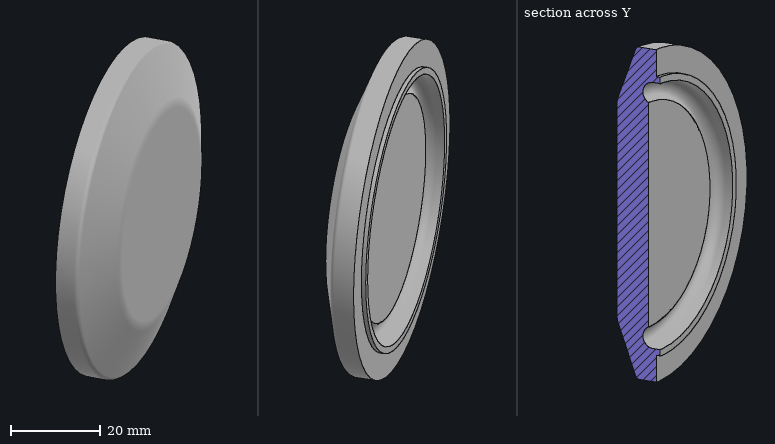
import cadquery as cq
import math

thickness = 11.5
outer_radius = 38.75
boss_height = 1.0
boss_radius = 32.5
back_radius = 25.6
back_edge_round = 5.0

recess_depth = 3.0
wall_depth = 2.0
groove_outer_radius = 30.9
groove_inner_radius = 26.1

rounding_end = 6.6
rounding_end_radius = 38.05


def flange_body():
    """Stepped disc with a conical back and a rounded rim."""
    cone_run = thickness - rounding_end
    cone_drop = rounding_end_radius - back_radius
    cone_angle = math.atan2(cone_drop, cone_run)
    rounding_radius = (outer_radius - rounding_end_radius) / (1 - math.cos(cone_angle))
    rounding_start = rounding_end - rounding_radius * math.sin(cone_angle)
    mid_x = rounding_start + rounding_radius * math.sin(cone_angle / 2)
    mid_radius = outer_radius - rounding_radius * (1 - math.cos(cone_angle / 2))
    profile = (
        cq.Workplane("XY")
        .lineTo(0, boss_radius)
        .lineTo(boss_height, boss_radius)
        .lineTo(boss_height, outer_radius)
        .lineTo(rounding_start, outer_radius)
        .threePointArc((mid_x, mid_radius), (rounding_end, rounding_end_radius))
        .lineTo(thickness, back_radius)
        .lineTo(thickness, 0)
        .close()
    )
    return profile.revolve(360, (0, 0, 0), (1, 0, 0))


def front_recess():
    """Recessed center surrounded by a round-bottomed ring groove."""
    groove_width = groove_outer_radius - groove_inner_radius
    step = recess_depth - wall_depth
    groove_radius = (groove_width**2 + step**2) / (2 * groove_width)
    groove_center_radius = groove_outer_radius - groove_radius
    groove_bottom = (wall_depth + groove_radius, groove_center_radius)
    profile = (
        cq.Workplane("XY")
        .lineTo(recess_depth, 0)
        .lineTo(recess_depth, groove_inner_radius)
        .threePointArc(groove_bottom, (wall_depth, groove_outer_radius))
        .lineTo(0, groove_outer_radius)
        .close()
    )
    return profile.revolve(360, (0, 0, 0), (1, 0, 0))


body = flange_body().faces(">X").edges().fillet(back_edge_round)
result = body.cut(front_recess())